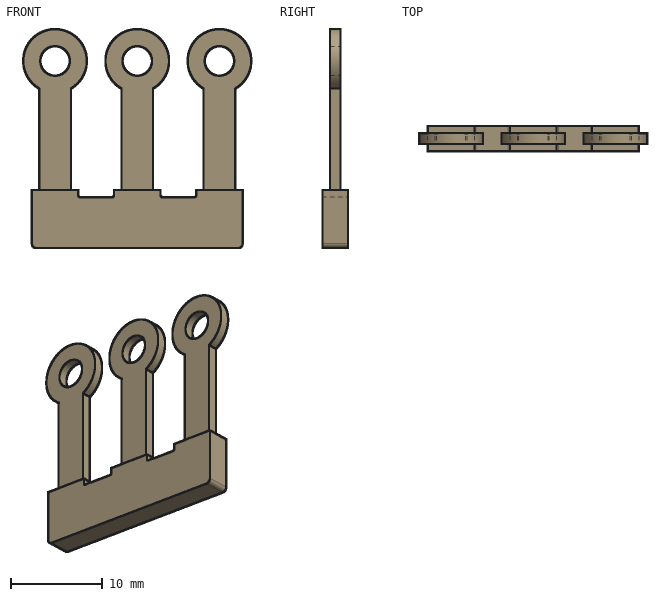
import cadquery as cq
import math

terminal_count = 3
terminal_pitch = 9.0
terminal_thickness = 1.2
ring_radius = 3.5
hole_diameter = 3.2
strap_width = 3.5

housing_depth = 2.8
housing_height = 6.4
pad_width = 5.1
notch_depth = 0.8
notch_fillet = 0.2
bottom_fillet = 0.5

total_height = 24.0
ring_center_z = total_height - ring_radius
terminal_span = terminal_pitch * (terminal_count - 1)
terminal_xs = [i * terminal_pitch - terminal_span / 2 for i in range(terminal_count)]
housing_width = terminal_span + pad_width
notch_width = terminal_pitch - pad_width


def make_notch(center_x):
    """Cutter for a notch between two pads, with rounded floor corners."""
    cutter = cq.Workplane("XY").box(
        notch_width, housing_depth, notch_depth, centered=(True, True, False)
    )
    cutter = cutter.edges("|Y and <Z").fillet(notch_fillet)
    return cutter.translate((center_x, 0, housing_height - notch_depth))


def make_housing():
    """Bar standing on Z = 0, with rounded lower ends and notches between the pads."""
    body = cq.Workplane("XY").box(
        housing_width, housing_depth, housing_height, centered=(True, True, False)
    )
    body = body.edges("|Y and <Z").fillet(bottom_fillet)
    for left_x, right_x in zip(terminal_xs, terminal_xs[1:]):
        body = body.cut(make_notch((left_x + right_x) / 2))
    return body


def make_terminal(center_x):
    """Flat strap standing on the housing top, ending in a ring with a round hole."""
    half_width = strap_width / 2
    neck_z = ring_center_z - math.sqrt(ring_radius**2 - half_width**2)
    plate = (
        cq.Workplane("XZ")
        .moveTo(-half_width, housing_height)
        .lineTo(-half_width, neck_z)
        .threePointArc((-ring_radius, ring_center_z), (0, total_height))
        .threePointArc((ring_radius, ring_center_z), (half_width, neck_z))
        .lineTo(half_width, housing_height)
        .close()
        .extrude(terminal_thickness / 2, both=True)
    )
    hole = (
        cq.Workplane("XZ")
        .center(0, ring_center_z)
        .circle(hole_diameter / 2)
        .extrude(terminal_thickness / 2, both=True)
    )
    return plate.cut(hole).translate((center_x, 0, 0))


housing = make_housing()
terminals = [make_terminal(x) for x in terminal_xs]

result = cq.Compound.makeCompound([housing.val(), *[terminal.val() for terminal in terminals]])